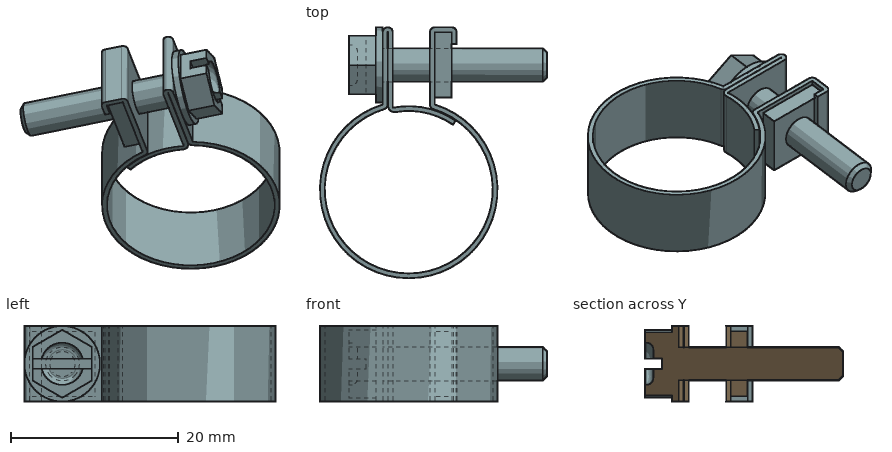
import cadquery as cq
import math


overall_length = 29.95
band_width = 9.0
thickness = 0.6
ring_outer_radius = 10.6
ring_inner_radius = ring_outer_radius - thickness
lug_top = overall_length - ring_outer_radius

fold_gap = 0.03
fold_left = -3.1
fold_inner_left = fold_left + thickness
fold_inner_right = fold_inner_left + fold_gap
fold_right = fold_inner_right + thickness
fold_outer_radius = thickness + fold_gap / 2
fold_center_x = (fold_left + fold_right) / 2
fold_center_y = lug_top - fold_outer_radius

tongue_gap = 0.05
tongue_outer_radius = ring_inner_radius - tongue_gap
tongue_inner_radius = tongue_outer_radius - thickness
tongue_end_angle = 55.6
tongue_bend_radius = 0.8

nut_thickness = 2.0
nut_side = 7.78

hook_left = 2.5
hook_inner_left = hook_left + thickness
hook_inner_right = hook_inner_left + nut_thickness
hook_right = hook_inner_right + thickness
hook_inner_top = lug_top - thickness
lip_bottom = 17.35
hook_bend_radius = thickness

flange_diameter = band_width
flange_thickness = 0.8
head_height = 3.2
head_across_flats = 7.0
shank_radius = 2.0
shank_end = 16.5
tip_chamfer = 0.5
slot_width = 1.2
slot_depth = 2.0
recess_radius = 2.5
recess_depth = 1.0
recess_floor_fillet = 0.8

screw_axis_y = lug_top - flange_diameter / 2
flange_left = fold_left - flange_thickness
head_left = flange_left - head_height


def polar(radius, angle):
    """Point at a radius and an angle in degrees about the ring axis."""
    return (radius * math.cos(math.radians(angle)), radius * math.sin(math.radians(angle)))


def angle_at(radius, x):
    """Angle in degrees at which the upper half of a circle about the ring axis reaches x."""
    return math.degrees(math.acos(x / radius))


def bend_middle(center, radius, start_angle, end_angle):
    """Middle of the rounded outside of a bend, between two angles in degrees about its center."""
    x, y = polar(radius, (start_angle + end_angle) / 2)
    return (center[0] + x, center[1] + y)


def x_cylinder(radius, x_start, x_end):
    """Cylinder about the screw axis."""
    return (
        cq.Workplane("YZ", origin=(x_start, screw_axis_y, 0))
        .circle(radius)
        .extrude(x_end - x_start)
    )


def make_band():
    hook_angle = angle_at(ring_outer_radius, hook_inner_left)
    fold_angle = angle_at(ring_outer_radius, fold_left)
    tongue_angle = angle_at(tongue_outer_radius, fold_right)
    hook_corner = polar(ring_outer_radius, hook_angle)
    fold_corner = polar(ring_outer_radius, fold_angle)
    tongue_corner = polar(tongue_outer_radius, tongue_angle)
    tongue_bend_distance = tongue_inner_radius + tongue_bend_radius
    tongue_bend_angle = angle_at(tongue_bend_distance, fold_inner_right + tongue_bend_radius)
    tongue_bend_center = polar(tongue_bend_distance, tongue_bend_angle)
    tongue_mid_angle = (tongue_angle + tongue_end_angle) / 2
    bottom_angle = -90

    blank = (
        cq.Workplane("XY", origin=(0, 0, -band_width / 2))
        .moveTo(hook_inner_right, lip_bottom)
        .lineTo(hook_inner_right, hook_inner_top)
        .lineTo(hook_inner_left, hook_inner_top)
        .lineTo(*hook_corner)
        .threePointArc(polar(ring_outer_radius, bottom_angle), fold_corner)
        .lineTo(fold_left, fold_center_y)
        .threePointArc((fold_center_x, lug_top), (fold_right, fold_center_y))
        .lineTo(*tongue_corner)
        .threePointArc(
            polar(tongue_outer_radius, tongue_mid_angle),
            polar(tongue_outer_radius, tongue_end_angle),
        )
        .lineTo(*polar(tongue_inner_radius, tongue_end_angle))
        .threePointArc(
            polar(tongue_inner_radius, tongue_mid_angle),
            polar(tongue_inner_radius, tongue_bend_angle),
        )
        .threePointArc(
            bend_middle(tongue_bend_center, tongue_bend_radius, 180, 180 + tongue_bend_angle),
            (fold_inner_right, tongue_bend_center[1]),
        )
        .lineTo(fold_inner_right, fold_center_y)
        .threePointArc(
            (fold_center_x, fold_center_y + fold_gap / 2), (fold_inner_left, fold_center_y)
        )
        .lineTo(fold_inner_left, fold_corner[1])
        .threePointArc(
            bend_middle(fold_corner, thickness, 0, fold_angle - 180),
            polar(ring_inner_radius, fold_angle),
        )
        .threePointArc(
            polar(ring_inner_radius, bottom_angle), polar(ring_inner_radius, hook_angle)
        )
        .threePointArc(
            bend_middle(hook_corner, thickness, 180, 180 + hook_angle),
            (hook_left, hook_corner[1]),
        )
        .lineTo(hook_left, lug_top - hook_bend_radius)
        .radiusArc((hook_left + hook_bend_radius, lug_top), hook_bend_radius)
        .lineTo(hook_right - hook_bend_radius, lug_top)
        .radiusArc((hook_right, lug_top - hook_bend_radius), hook_bend_radius)
        .lineTo(hook_right, lip_bottom)
        .close()
        .extrude(band_width)
    )
    return blank.cut(x_cylinder(shank_radius, fold_left, hook_inner_left))


def make_nut():
    nut_center = (
        hook_inner_left + nut_thickness / 2,
        hook_inner_top - nut_side / 2,
        0,
    )
    blank = cq.Workplane("XY", origin=nut_center).box(nut_thickness, nut_side, nut_side)
    return blank.cut(x_cylinder(shank_radius, hook_inner_left, hook_inner_right))


def make_screw():
    hex_diameter = head_across_flats / math.cos(math.pi / 6)
    head = (
        cq.Workplane("YZ", origin=(head_left, screw_axis_y, 0))
        .transformed(rotate=(0, 0, 90))
        .polygon(6, hex_diameter)
        .extrude(head_height)
    )
    flange = x_cylinder(flange_diameter / 2, flange_left, fold_left)
    shank = x_cylinder(shank_radius, fold_left, shank_end).faces(">X").chamfer(tip_chamfer)
    recess = (
        x_cylinder(recess_radius, head_left, head_left + recess_depth)
        .faces(">X")
        .edges()
        .fillet(recess_floor_fillet)
    )
    slot = cq.Workplane("XY", origin=(head_left + slot_depth / 2, screw_axis_y, 0)).box(
        slot_depth, head_across_flats, slot_width
    )
    return head.union(flange).union(shank).cut(recess).cut(slot)


band = make_band()
nut = make_nut()
screw = make_screw()

result = cq.Compound.makeCompound([band.val(), nut.val(), screw.val()])